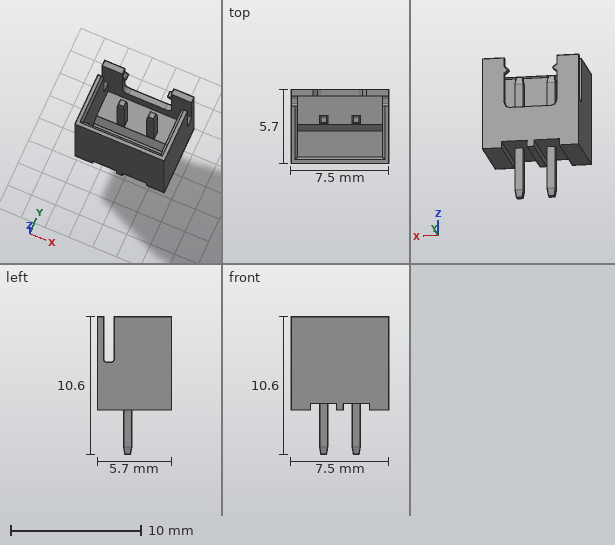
import cadquery as cq

width = 7.5
depth = 5.7
height = 7.2
wall = 0.5
y_front = -depth / 2
y_back = depth / 2

back_floor = 2.0
front_floor = 1.53
floor_slope_top_y = y_back - 2.69
floor_slope_length = 0.51
lead_in_width = 0.2
lead_in_height = 0.2

slot_depth = 3.5
slot_width = 0.78
slot_fillet = 0.2

tab_width = 1.7
window_depth = 4.0
window_fillet = 0.51
barb_reach = 0.33
barb_drop = 0.29
barb_top = height - 0.67

channel_depth = 0.5
center_foot_width = 0.53
channel_outer_x = 2.26

pin_pitch = 2.5
pin_size = 0.64
pin_tip_size = 0.45
pin_taper = 0.57
total_height = 10.6
pin_bottom = height - total_height
pin_length = 9.6
pin_y = y_back - 2.33


def box(x0, x1, y0, y1, z0, z1):
    """Box spanning the given coordinate ranges."""
    return cq.Workplane("XY").box(x1 - x0, y1 - y0, z1 - z0, centered=False).translate((x0, y0, z0))


def cavity():
    """Open-topped interior with the stepped floor and a sloped lead-in rim."""
    inner_width = width - 2 * wall
    y_inner_front = y_front + wall
    y_inner_back = y_back - wall
    profile = [
        (y_inner_front, height),
        (y_inner_front, front_floor),
        (floor_slope_top_y - floor_slope_length, front_floor),
        (floor_slope_top_y, back_floor),
        (y_inner_back, back_floor),
        (y_inner_back, height),
    ]
    interior = cq.Workplane("YZ").polyline(profile).close().extrude(inner_width / 2, both=True)

    rim_length = y_inner_back - y_inner_front
    rim = (
        cq.Workplane("XY", origin=(0, 0, height - lead_in_height))
        .center(0, y_inner_front + rim_length / 2)
        .rect(inner_width, rim_length)
        .workplane(offset=lead_in_height)
        .center(0, -lead_in_width / 2)
        .rect(inner_width + 2 * lead_in_width, rim_length + lead_in_width)
        .loft(ruled=True)
    )
    return interior.union(rim)


def side_slots():
    """Slots through both side walls, just in front of the back wall."""
    slot_back = y_back - wall
    slot = box(-width, width, slot_back - slot_width, slot_back, height - slot_depth, height)
    return slot.edges("|X and <Z").fillet(slot_fillet)


def back_window():
    """Opening in the back wall between the latch tabs."""
    half = width / 2 - tab_width
    window = box(-half, half, y_back - wall, y_back, height - window_depth, height)
    return window.edges("|Y and <Z").fillet(window_fillet)


def barb(side):
    """Triangular barb pointing inward from the tab on the given side (-1 or 1)."""
    edge = width / 2 - tab_width
    profile = [
        (side * edge, barb_top),
        (side * (edge - barb_reach), barb_top - barb_drop),
        (side * edge, barb_top - 2 * barb_drop),
    ]
    return cq.Workplane("XZ", origin=(0, y_back, 0)).polyline(profile).close().extrude(wall)


def channel(side):
    """Channel along Y under the base, between the center foot and an outer foot."""
    x_limits = sorted((side * center_foot_width / 2, side * channel_outer_x))
    return box(*x_limits, y_front, y_back, 0, channel_depth)


def pin(x):
    """Square pin with a tapered tip at both ends."""
    base = cq.Workplane("XY", origin=(x, pin_y, pin_bottom))
    shank_length = pin_length - 2 * pin_taper
    shank = base.workplane(offset=pin_taper).rect(pin_size, pin_size).extrude(shank_length)
    lower_tip = (
        base.rect(pin_tip_size, pin_tip_size)
        .workplane(offset=pin_taper).rect(pin_size, pin_size).loft(ruled=True)
    )
    upper_tip = (
        base.workplane(offset=pin_length - pin_taper).rect(pin_size, pin_size)
        .workplane(offset=pin_taper).rect(pin_tip_size, pin_tip_size).loft(ruled=True)
    )
    return shank.union(lower_tip).union(upper_tip)


housing = box(-width / 2, width / 2, y_front, y_back, 0, height)
housing = housing.cut(cavity()).cut(side_slots()).cut(back_window())

result = housing
for side in (-1, 1):
    result = result.cut(channel(side)).union(barb(side)).union(pin(side * pin_pitch / 2))